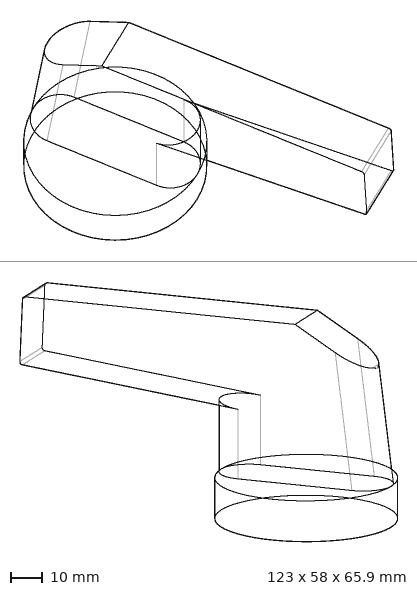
import cadquery as cq
import math

base_diameter = 58.0
base_height = 13.4
base_radius = base_diameter / 2

lever_width = 19.1
overall_length = 123.0
overall_height = 65.9
back_slant_run = 4.9
shoulder_angle = math.radians(30)
underside_angle = math.radians(5.7)
tip_lean = math.radians(2.5)
neck_front_z = 37.1
corner_radius = 1.0

neck_front_x = base_diameter
end_radius = lever_width / 2

shoulder_top_x = base_radius
shoulder_run = shoulder_top_x - back_slant_run
back_top_z = overall_height - shoulder_run * math.tan(shoulder_angle)
back_lean = math.atan2(back_slant_run, back_top_z - base_height)
corner_reach = corner_radius * (math.cos(underside_angle) + math.sin(tip_lean)) / math.cos(
    tip_lean - underside_angle
)
tip_bottom_x = overall_length - corner_radius + corner_reach
tip_bottom_z = neck_front_z + (tip_bottom_x - neck_front_x) * math.tan(underside_angle)
tip_top_x = tip_bottom_x - (overall_height - tip_bottom_z) * math.tan(tip_lean)


def make_base():
    return cq.Workplane("XY").center(base_radius, 0).circle(base_radius).extrude(base_height)


def extrude_across(outline):
    """Extrude an outline of (X, Z) points over the full width of the lever."""
    return cq.Workplane("XZ").polyline(outline).close().extrude(lever_width / 2, both=True)


def make_lever_blank():
    """The lever with square neck ends and its three small corner rounds."""
    outline = [
        (0, base_height),
        (neck_front_x, base_height),
        (neck_front_x, neck_front_z),
        (tip_bottom_x, tip_bottom_z),
        (tip_top_x, overall_height),
        (shoulder_top_x, overall_height),
        (back_slant_run, back_top_z),
    ]
    rounded_corners = [
        (tip_bottom_x, 0, tip_bottom_z),
        (tip_top_x, 0, overall_height),
        (back_slant_run, 0, back_top_z),
    ]
    blank = extrude_across(outline)
    for corner in rounded_corners:
        edge = cq.selectors.NearestToPointSelector(corner)
        blank = blank.edges("|Y").edges(edge).fillet(corner_radius)
    return blank


def make_round_cylinder(axis_x, lean):
    """A cylinder through the neck, leaning toward +X and longer than the neck at both ends."""
    direction = cq.Vector(math.sin(lean), 0, math.cos(lean))
    middle = cq.Vector(axis_x, 0, base_height)
    start = middle - direction * overall_height
    return cq.Workplane(cq.Solid.makeCylinder(end_radius, 2 * overall_height, start, direction))


def round_back(lever):
    axis_x = end_radius / math.cos(back_lean)
    top_x = overall_height * math.tan(back_lean)
    strip = extrude_across([
        (0, base_height),
        (axis_x, base_height),
        (axis_x + top_x, base_height + overall_height),
        (top_x, base_height + overall_height),
    ])
    return lever.cut(strip.cut(make_round_cylinder(axis_x, back_lean)))


def round_neck_front(lever):
    axis_x = neck_front_x - end_radius
    strip = extrude_across([
        (axis_x, base_height),
        (neck_front_x, base_height),
        (neck_front_x, neck_front_z),
        (axis_x, neck_front_z - end_radius * math.tan(underside_angle)),
    ])
    return lever.cut(strip.cut(make_round_cylinder(axis_x, 0)))


base = make_base()
lever = round_neck_front(round_back(make_lever_blank()))

result = cq.Compound.makeCompound([base.val(), *lever.solids().vals()])